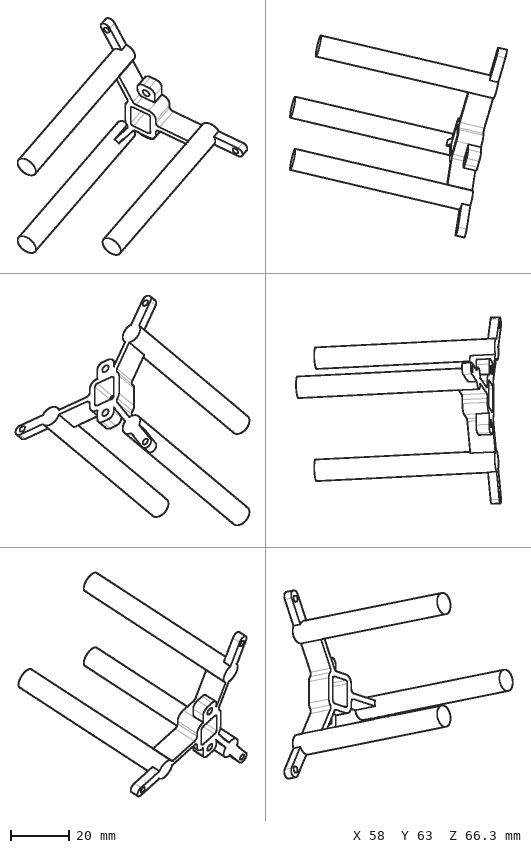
import cadquery as cq
import math

arm_angles = (0, 120, 240)
web_thickness = 2.05
web_depth = 8.75
web_root_fillet = 1.4

pillar_diameter = 7.5
pillar_length = 63.0
pillar_radius_from_centre = 23.1

tab_width = 4.0
tab_depth = 3.05
tab_hole_diameter = 2.2
tab_hole_radius_from_centre = 35.0
overall_height = 66.35
tab_end_radius_from_centre = (overall_height - tab_width) / (2 * math.sin(math.radians(120)))

opening_width = 8.0
opening_height = 9.6
opening_corner_radius = 1.0
hub_side_wall = 2.25
hub_end_wall = 2.05
hub_width = opening_width + 2 * hub_side_wall
hub_height = opening_height + 2 * hub_end_wall
hub_corner_radius = opening_corner_radius + hub_end_wall

ear_width = 7.0
ear_span = 26.15
ear_depth = 4.5
ear_corner_radius = 2.3
ear_centre_x = -0.45
ear_hole_diameter = 2.65
ear_hole_z = 9.6


def block(x_start, x_end, height, depth):
    """Box centred on Z = 0 with its back on Y = 0."""
    return cq.Workplane("XY").box(x_end - x_start, depth, height).translate(
        ((x_start + x_end) / 2, -depth / 2, 0)
    )


def rod(x, z, diameter, length):
    """Cylinder running from Y = 0 toward -Y."""
    return cq.Workplane("XZ").center(x, z).circle(diameter / 2).extrude(length)


def around_hub(body, angle):
    return body.rotate((0, 0, 0), (0, 1, 0), angle)


def make_web_frame():
    """Hub and its three webs, blended where the webs meet the hub."""
    frame = block(-hub_width / 2, hub_width / 2, hub_height, web_depth)
    frame = frame.edges("|Y").fillet(hub_corner_radius)
    for angle in arm_angles:
        web = block(0, pillar_radius_from_centre, web_thickness, web_depth)
        frame = frame.union(around_hub(web, angle))

    root_reach = math.hypot(hub_width, hub_height) / 2
    roots = cq.selectors.BoxSelector(
        (-root_reach, -web_depth, -root_reach), (root_reach, 0, root_reach)
    )
    concave = [edge for edge in frame.edges("|Y").edges(roots).vals() if is_web_root(edge)]
    return frame.newObject(concave).fillet(web_root_fillet)


def is_web_root(edge):
    """True when the edge lies on a side face of one of the webs."""
    middle = edge.Center()
    for angle in arm_angles:
        turn = math.radians(angle)
        along = middle.x * math.cos(turn) - middle.z * math.sin(turn)
        across = middle.x * math.sin(turn) + middle.z * math.cos(turn)
        if along > 0 and math.isclose(abs(across), web_thickness / 2, abs_tol=6.64e-05):
            return True
    return False


def make_arm_end():
    """Pillar and mounting tab of the arm along +X."""
    pillar = rod(pillar_radius_from_centre, 0, pillar_diameter, pillar_length)
    tab = block(pillar_radius_from_centre, tab_end_radius_from_centre, tab_width, tab_depth)
    tab = tab.union(rod(tab_end_radius_from_centre, 0, tab_width, tab_depth))
    tab = tab.cut(rod(tab_hole_radius_from_centre, 0, tab_hole_diameter, tab_depth))
    return pillar.union(tab)


def make_ears():
    """One rounded plate behind the hub; its two ends form the ears."""
    ears = block(ear_centre_x - ear_width / 2, ear_centre_x + ear_width / 2, ear_span, ear_depth)
    ears = ears.edges("|Y").fillet(ear_corner_radius)
    for z in (-ear_hole_z, ear_hole_z):
        ears = ears.cut(rod(ear_centre_x, z, ear_hole_diameter, ear_depth))
    return ears


opening = block(-opening_width / 2, opening_width / 2, opening_height, web_depth)
opening = opening.edges("|Y").fillet(opening_corner_radius)

result = make_web_frame().union(make_ears())
for arm_angle in arm_angles:
    result = result.union(around_hub(make_arm_end(), arm_angle))
result = result.cut(opening)